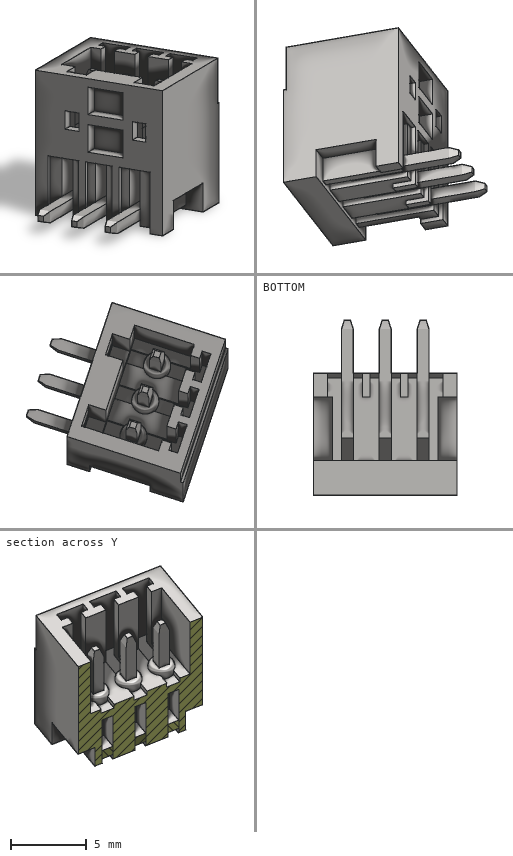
import cadquery as cq


pin_count = 3
pitch = 2.5
pin_size = 0.8
pin_y = 3.89
pin_z = 1.11
pin_reach = 3.5
pin_top = 9.37
tip_length = 0.6
tip_size = 0.42

width = 9.5
overall_depth = 11.6
depth = overall_depth - pin_reach
height = 10.1
back_step = 0.19
back_step_z = 6.94

cavity_width = 7.54
cavity_front = 1.9
cavity_back = 6.05
cavity_floor = 5.34
channel_floor = 4.99

stem_width = 0.97
head_width = 2.01
head_front = 6.69
head_back = 7.3

boss_diameter = 1.8
boss_top = 5.68
boss_round = 0.3

key_front = 0.7
key_floor = 5.8
left_key = (-2.76, -1.28)
right_key = (2.26, cavity_width / 2)
latch_bottom = 6.33
latch_top = 7.61
left_latch = (-2.53, -1.5)
right_latch = (2.5, 3.49)

pocket_left = -0.81
pocket_right = 1.79
pocket_depth = 0.9
pocket_heights = [(4.99, 6.91), (7.61, 9.51)]

recess_top = 4.29
recess_depth = 0.31
recess_half = 1.0
row_half = 3.82

foot_front_depth = 1.58
foot_back_depth = 2.31
back_foot_front = depth - foot_back_depth
side_notch_height = 2.02
block_inset = 1.28
block_bottom = 0.31

pin_positions = [(i - (pin_count - 1) / 2) * pitch for i in range(pin_count)]


def box(x_limits, y_limits, z_limits):
    """Axis-aligned box between three pairs of limits."""
    sizes = [high - low for low, high in (x_limits, y_limits, z_limits)]
    return cq.Workplane("XY").box(*sizes, centered=False).translate(
        (x_limits[0], y_limits[0], z_limits[0])
    )


def centred(x, size):
    """Limits of a width centred on x."""
    return (x - size / 2, x + size / 2)


def tapered_tip(plane):
    """Truncated pyramid that ends a leg, starting on the given plane."""
    return (
        cq.Workplane(plane)
        .rect(pin_size, pin_size)
        .workplane(offset=tip_length)
        .rect(tip_size, tip_size)
        .loft(ruled=True)
    )


def make_pin(x):
    """Right-angle square pin with a tapered tip at both ends."""
    shoulder_y = -pin_reach + tip_length
    shoulder_z = pin_top - tip_length
    rear = pin_y + pin_size / 2
    underside = pin_z - pin_size / 2
    across = centred(x, pin_size)
    leg = box(across, (shoulder_y, rear), centred(pin_z, pin_size))
    upright = box(across, centred(pin_y, pin_size), (underside, shoulder_z))
    front_tip = tapered_tip(cq.Plane((x, shoulder_y, pin_z), (1, 0, 0), (0, -1, 0)))
    top_tip = tapered_tip(cq.Plane((x, pin_y, shoulder_z), (1, 0, 0), (0, 0, 1)))
    return leg.union(upright).union(front_tip).union(top_tip)


def recess_limits(x):
    """X limits of the front recess around the pin at x; the end ones are wider outward."""
    left = -row_half if x == pin_positions[0] else x - recess_half
    right = row_half if x == pin_positions[-1] else x + recess_half
    return (left, right)


def make_shell():
    """Outer block with the stepped back face and the mating cavity."""
    shell = box(centred(0, width), (0, depth), (0, height))
    shell = shell.cut(box(centred(0, width), (depth - back_step, depth), (back_step_z, height)))
    return shell.cut(
        box(centred(0, cavity_width), (cavity_front, cavity_back), (cavity_floor, height))
    )


def cut_t_slot(housing, x):
    """T slot in the back wall, its stem running on as a channel in the cavity floor."""
    levels = (channel_floor, height)
    stem = box(centred(x, stem_width), (cavity_front, head_front), levels)
    head = box(centred(x, head_width), (head_front, head_back), levels)
    return housing.cut(stem).cut(head)


def add_boss(housing, x):
    """Round boss with a rounded rim around an upright leg."""
    boss = (
        cq.Workplane("XY", origin=(x, pin_y, channel_floor))
        .circle(boss_diameter / 2)
        .extrude(boss_top - channel_floor)
        .faces(">Z")
        .edges()
        .fillet(boss_round)
    )
    return housing.union(boss)


def cut_key_slot(housing, key, latch):
    """Key slot in the front wall and the latch window that opens into it."""
    slot = box(key, (key_front, cavity_front), (key_floor, height))
    window = box(latch, (0, key_front), (latch_bottom, latch_top))
    return housing.cut(slot).cut(window)


def cut_front_recess(housing, x):
    """Shallow recess, the open space under it, and the groove that takes the pin."""
    limits = recess_limits(x)
    recess = box(limits, (0, recess_depth), (0, recess_top))
    relief = box(limits, (0, foot_front_depth), (0, block_bottom))
    groove = box(centred(x, pin_size), (0, back_foot_front), (0, recess_top))
    return housing.cut(recess).cut(relief).cut(groove)


def cut_underside(housing):
    """Side notches and the raised underside between the front and back feet."""
    feet_gap = (foot_front_depth, back_foot_front)
    side = width / 2
    inner = side - block_inset
    for x_limits in ((-side, -inner), (inner, side)):
        housing = housing.cut(box(x_limits, feet_gap, (0, side_notch_height)))
    return housing.cut(box((-inner, inner), feet_gap, (0, block_bottom)))


def make_housing(pins):
    """Complete housing, with a matching opening for every pin."""
    housing = make_shell()
    for x in pin_positions:
        housing = cut_t_slot(housing, x)
    for x in pin_positions:
        housing = add_boss(housing, x)
    housing = cut_key_slot(housing, left_key, left_latch)
    housing = cut_key_slot(housing, right_key, right_latch)
    for z_limits in pocket_heights:
        housing = housing.cut(box((pocket_left, pocket_right), (0, pocket_depth), z_limits))
    housing = cut_underside(housing)
    for x in pin_positions:
        housing = cut_front_recess(housing, x)
    for pin in pins:
        housing = housing.cut(pin)
    return housing


pins = [make_pin(x) for x in pin_positions]
housing = make_housing(pins)

result = cq.Compound.makeCompound(
    [housing.solids().val(), *[pin.solids().val() for pin in pins]]
)